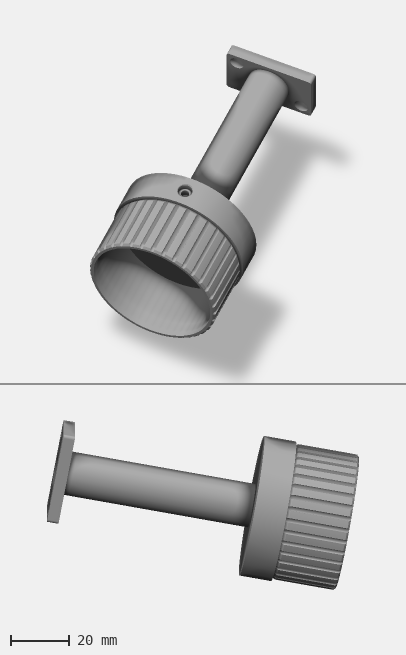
import cadquery as cq


flange_diameter = 48.3
flange_thickness = 11.0
tube_diameter = 15.0
tube_length = 64.0
bore_diameter = 11.0
plate_width = 31.5
plate_height = 18.7
plate_thickness = 4.0
plate_corner_radius = 1.0

plate_hole_diameter = 5.0
plate_hole_x = 12.0
plate_hole_z = 5.6

knob_diameter = 46.8
knob_length = 22.0
knob_inner_diameter = 43.5
knob_front_chamfer = 0.7
knob_back_chamfer_length = 1.1
knob_back_chamfer_depth = 0.7
groove_count = 36
groove_radius = 0.75

screw_diameter = 5.0
screw_length = 17.4
screw_tip_z = 4.9
screw_chamfer = 0.5
socket_diameter = 2.8
socket_depth = 2.5
screw_hole_chamfer = 0.35

tube_front = flange_thickness
plate_front = tube_front + tube_length
plate_back = plate_front + plate_thickness
screw_y = flange_thickness / 2


def cylinder(diameter, start, length):
    """Cylinder on the Y axis, running from start toward +Y."""
    return cq.Workplane("XZ", origin=(0, start, 0)).circle(diameter / 2).extrude(-length)


def upright_cylinder(diameter, bottom, height):
    """Vertical cylinder on the set screw axis."""
    return cq.Workplane("XY", origin=(0, screw_y, bottom)).circle(diameter / 2).extrude(height)


def make_plate():
    plate_plane = cq.Workplane("XZ", origin=(0, plate_front, 0))
    plate = plate_plane.rect(plate_width, plate_height).extrude(-plate_thickness)
    plate = plate.edges("|Y").fillet(plate_corner_radius)
    hole_places = [(-plate_hole_x, plate_hole_z), (plate_hole_x, -plate_hole_z)]
    holes = plate_plane.pushPoints(hole_places).circle(plate_hole_diameter / 2).extrude(-plate_thickness)
    return plate.cut(holes)


def make_knob():
    outer_radius = knob_diameter / 2
    inner_radius = knob_inner_diameter / 2
    profile = [
        (inner_radius, -knob_length),
        (outer_radius - knob_front_chamfer, -knob_length),
        (outer_radius, -knob_length + knob_front_chamfer),
        (outer_radius, -knob_back_chamfer_length),
        (outer_radius - knob_back_chamfer_depth, 0),
        (inner_radius, 0),
    ]
    knob = cq.Workplane("XY").polyline(profile).close().revolve(360, (0, 0), (0, 1))
    groove = cylinder(2 * groove_radius, -knob_length, knob_length).translate((0, 0, outer_radius))
    for index in range(groove_count):
        angle = index * 360 / groove_count
        knob = knob.cut(groove.rotate((0, 0, 0), (0, 1, 0), angle))
    return knob


def make_screw_hole():
    """Hole from the bore out through the top of the flange, with a 45 degree chamfer at its mouth."""
    top = flange_diameter / 2
    hole = upright_cylinder(screw_diameter, 0, top)
    mouth_plane = cq.Workplane("XY", origin=(0, screw_y, top - screw_hole_chamfer))
    mouth = (
        mouth_plane.circle(screw_diameter / 2)
        .workplane(offset=screw_hole_chamfer)
        .circle(screw_diameter / 2 + screw_hole_chamfer)
        .loft(ruled=True)
    )
    return hole.union(mouth)


def make_housing():
    flange = cylinder(flange_diameter, 0, flange_thickness)
    tube = cylinder(tube_diameter, tube_front, tube_length)
    body = flange.union(tube).union(make_plate()).union(make_knob())
    body = body.cut(cylinder(bore_diameter, 0, plate_back))
    return body.cut(make_screw_hole())


def make_set_screw():
    """Headless screw with a socket; its flat tip stands at the rim of the bore."""
    screw_top = screw_tip_z + screw_length
    screw = upright_cylinder(screw_diameter, screw_tip_z, screw_length)
    screw = screw.faces("<Z or >Z").chamfer(screw_chamfer)
    return screw.cut(upright_cylinder(socket_diameter, screw_top - socket_depth, socket_depth))


housing = make_housing()
set_screw = make_set_screw()
result = cq.Compound.makeCompound([housing.val(), set_screw.val()])